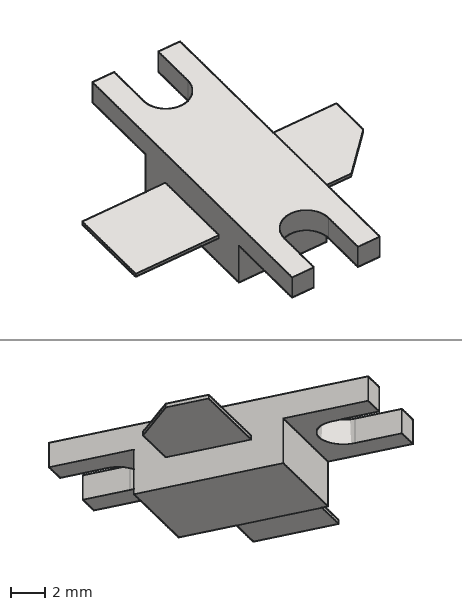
import cadquery as cq

flange_length = 20.5
flange_width = 6.21
flange_thickness = 1.6
slot_width = 3.12
slot_depth = 4.6

body_length = 9.6
insulator_thickness = 0.7
lid_thickness = 2.21

lead_span = 18.0
lead_width = 5.5
lead_thickness = 0.25
lead_chamfer = lead_width / 2

lid_top = lid_thickness
flange_bottom = lid_top + insulator_thickness
lead_bottom = lid_top - lead_thickness


def block(length, width, height, bottom):
    """Box centred on the Z axis, standing on the given level."""
    return (
        cq.Workplane("XY")
        .box(length, width, height, centered=(True, True, False))
        .translate((0, 0, bottom))
    )


def make_flange():
    """Flange plate with a round-bottomed slot open at each X end."""
    flange = block(flange_length, flange_width, flange_thickness, flange_bottom)
    slots = (
        cq.Workplane("XY", origin=(0, 0, flange_bottom))
        .pushPoints([(-flange_length / 2, 0), (flange_length / 2, 0)])
        .slot2D(2 * slot_depth, slot_width)
        .extrude(flange_thickness)
    )
    return flange.cut(slots)


def make_leads():
    """Lead strip through the body, with one chamfered corner at +X, +Y."""
    strip = block(lead_width, lead_span, lead_thickness, lead_bottom)
    return strip.edges("|Z and >X and >Y").chamfer(lead_chamfer)


body = block(body_length, flange_width, flange_bottom, 0)
result = make_flange().union(body).union(make_leads())